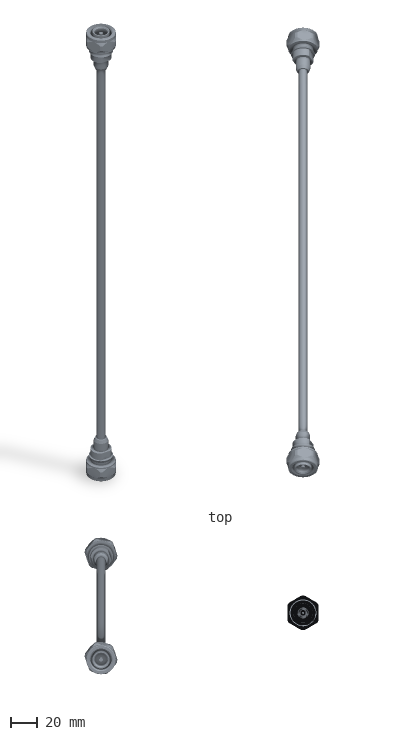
import cadquery as cq
import math

TOTAL_LENGTH = 399.0
HALF_LENGTH = TOTAL_LENGTH / 2

CABLE_RADIUS = 3.0
CABLE_END_Z = 153.0

TAIL_END_Z = 166.5
FERRULE_TAPER_END_Z = 168.7
FERRULE_END_Z = 176.0
WRENCH_END_Z = 182.0
FLANGE_END_Z = 184.3

TAIL_RADIUS = CABLE_RADIUS
FERRULE_RADIUS = 10.8 / 2
FERRULE_TIP_RADIUS = 4.5
BODY_RADIUS = 15.5 / 2
FLANGE_RADIUS = 18.0 / 2
SHELL_RADIUS = 6.5
WRENCH_FLAT_WIDTH = 13.5

SOCKET_RADIUS = 4.8
SOCKET_CHAMFER = 0.8
SOCKET_DEPTH = 6.0
PIN_RADIUS = 1.4
PIN_RECESS = 1.5

HEX_SIDES = 6
NUT_ACROSS_FLATS = 22.0
NUT_CORNER_DIAMETER = 24.5
NUT_FRONT_GAP = 0.6
NUT_LENGTH = 12.5
NUT_FRONT_COLLAR = 2.8
NUT_BACK_COLLAR = 1.0
NUT_CORNER_SLOPE = 2.0
NUT_RIM_CHAMFER = 0.5
NUT_BORE_CHAMFER = 0.8
NUT_OVERLAP = 4.0

NUT_FRONT_Z = HALF_LENGTH - NUT_FRONT_GAP
NUT_BACK_Z = NUT_FRONT_Z - NUT_LENGTH
SHOULDER_Z = NUT_BACK_Z + NUT_OVERLAP


def revolve_profile(profile):
    """Turn a closed profile, drawn as (radius, Z), about the Z axis."""
    return profile.close().revolve(360, (0, 0, 0), (0, 1, 0))


def bored_space(radius, chamfer, bottom_z, mouth_z):
    """Volume of a round bore with a chamfered mouth at its upper end."""
    return revolve_profile(
        cq.Workplane("XZ")
        .moveTo(0, bottom_z)
        .lineTo(radius, bottom_z)
        .lineTo(radius, mouth_z - chamfer)
        .lineTo(radius + chamfer, mouth_z)
        .lineTo(0, mouth_z)
    )


def make_cable():
    return cq.Workplane("XY", origin=(0, 0, -CABLE_END_Z)).circle(CABLE_RADIUS).extrude(2 * CABLE_END_Z)


def make_connector():
    """Upper connector: stepped turned body with wrench flats, socket and centre pin."""
    turned = revolve_profile(
        cq.Workplane("XZ")
        .moveTo(0, CABLE_END_Z)
        .lineTo(TAIL_RADIUS, CABLE_END_Z)
        .lineTo(TAIL_RADIUS, TAIL_END_Z)
        .lineTo(FERRULE_TIP_RADIUS, TAIL_END_Z)
        .lineTo(FERRULE_RADIUS, FERRULE_TAPER_END_Z)
        .lineTo(FERRULE_RADIUS, FERRULE_END_Z)
        .lineTo(BODY_RADIUS, FERRULE_END_Z)
        .lineTo(BODY_RADIUS, WRENCH_END_Z)
        .lineTo(FLANGE_RADIUS, WRENCH_END_Z)
        .lineTo(BODY_RADIUS, FLANGE_END_Z)
        .lineTo(BODY_RADIUS, SHOULDER_Z)
        .lineTo(SHELL_RADIUS, SHOULDER_Z)
        .lineTo(SHELL_RADIUS, HALF_LENGTH)
        .lineTo(0, HALF_LENGTH)
    )

    wrench_length = WRENCH_END_Z - FERRULE_END_Z
    trim_width = BODY_RADIUS
    for side in (-1, 1):
        trim = cq.Workplane("XY").box(trim_width, 2 * BODY_RADIUS, wrench_length).translate((
            side * (WRENCH_FLAT_WIDTH + trim_width) / 2,
            0,
            FERRULE_END_Z + wrench_length / 2,
        ))
        turned = turned.cut(trim)

    socket_floor_z = HALF_LENGTH - SOCKET_DEPTH
    socket = bored_space(SOCKET_RADIUS, SOCKET_CHAMFER, socket_floor_z, HALF_LENGTH)
    pin_length = SOCKET_DEPTH - PIN_RECESS
    pin = cq.Workplane("XY", origin=(0, 0, socket_floor_z)).circle(PIN_RADIUS).extrude(pin_length)
    return turned.cut(socket.cut(pin))


def make_nut():
    """Upper coupling nut: hexagon with turned-down corners and a round collar at each end."""
    flat_radius = NUT_ACROSS_FLATS / 2
    corner_radius = NUT_CORNER_DIAMETER / 2
    hex_back_z = NUT_BACK_Z + NUT_BACK_COLLAR
    hex_front_z = NUT_FRONT_Z - NUT_FRONT_COLLAR

    envelope = revolve_profile(
        cq.Workplane("XZ")
        .moveTo(0, NUT_BACK_Z)
        .lineTo(flat_radius, NUT_BACK_Z)
        .lineTo(flat_radius, hex_back_z)
        .lineTo(corner_radius, hex_back_z + NUT_CORNER_SLOPE)
        .lineTo(corner_radius, hex_front_z - NUT_CORNER_SLOPE)
        .lineTo(flat_radius, hex_front_z)
        .lineTo(flat_radius, NUT_FRONT_Z - NUT_RIM_CHAMFER)
        .lineTo(flat_radius - NUT_RIM_CHAMFER, NUT_FRONT_Z)
        .lineTo(0, NUT_FRONT_Z)
    )
    half_side_angle = 180 / HEX_SIDES
    corner_to_corner = NUT_ACROSS_FLATS / math.cos(math.radians(half_side_angle))
    hexagon = (
        cq.Workplane("XY", origin=(0, 0, NUT_BACK_Z))
        .transformed(rotate=(0, 0, half_side_angle))
        .polygon(HEX_SIDES, corner_to_corner)
        .extrude(NUT_LENGTH)
    )
    bore = bored_space(BODY_RADIUS, NUT_BORE_CHAMFER, NUT_BACK_Z, NUT_FRONT_Z)
    return envelope.intersect(hexagon).cut(bore)


def at_both_ends(upper_body):
    """Copies for the upper and lower end; half a turn about Y carries one onto the other."""
    return [upper_body.rotate((0, 0, 0), (0, 1, 0), angle).val() for angle in (0, 180)]


cable = make_cable()
connectors = at_both_ends(make_connector())
nuts = at_both_ends(make_nut())

result = cq.Compound.makeCompound([cable.val(), *connectors, *nuts])